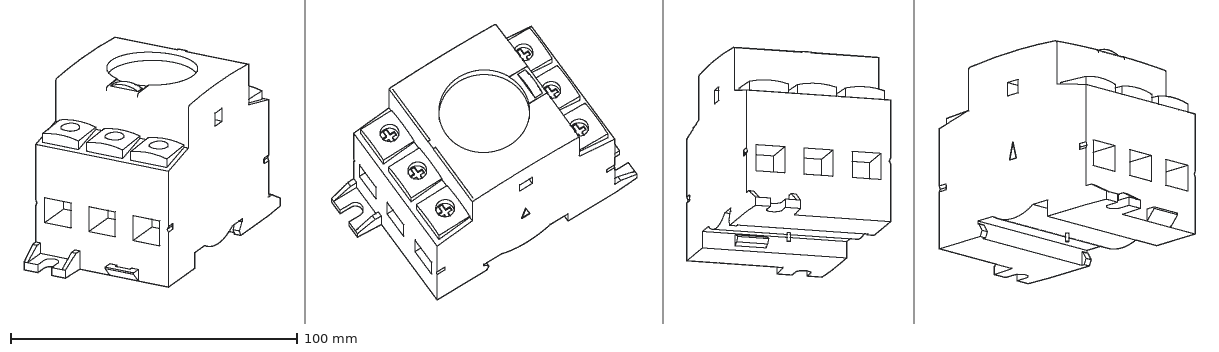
import cadquery as cq

WIDTH = 52.5
LENGTH = 94.0
HEIGHT = 65.3
OVERLAP = 0.9
HALF_WIDTH = WIDTH / 2
HALF_BODY = 37.3
SHOULDER_LOW = 43.8
SHOULDER_HIGH = 47.2

HALF_BLOCK = 45.0 / 2
ROOF_BACK = 62.9
ROOF_BACK_SIDE = 62.8
ROOF_MID_Y = 0.0
ROOF_MID_CROWN = 64.3
ROOF_MID_SIDE = 63.9
ROOF_FRONT_CROWN = 64.0
ROOF_FRONT_SIDE = 63.1
FRONT_ROUND = 1.1
REAR_BEVEL_LENGTH = 0.9
REAR_BEVEL_DROP = 0.4
REAR_STOP_WIDTH = 3.4

CHANNEL_HALF = 17.7
CHANNEL_TOP = 5.9
BELLY_HALF = 10.2
BELLY_BOTTOM = 3.0
HOOK_WIDTH = 2.5
HOOK_TIP = (15.5, 2.1)
HOOK_FOOT_Y = 16.45
HOOK_TOP = (17.2, 4.9)
PIN_DIAMETER = 1.1

POLE_PITCH = 17.5
POLES = [-POLE_PITCH, 0.0, POLE_PITCH]
PAD_WIDTH = 14.3
PAD_END = 35.4
PAD_CROWN = 0.9
PAD_OUTER_SIDE = 47.5
PAD_INNER_SIDE = 48.0
SCREW_Y = 28.1
SCREW_DIAMETER = 6.6
SCREW_TOP = 45.6
CROSS_WIDTH = 1.5
CROSS_LONG = 6.3
CROSS_SHORT = 5.0
CROSS_DEPTH = 0.9
WIRE_WIDTH = 10.4
WIRE_BOTTOM = 14.9
WIRE_TOP = 24.3
WIRE_DEPTH = 14.1

DIAL_RADIUS = 15.9
DIAL_FLOOR = 60.5
TAB_WIDTH = 12.4
TAB_TOP = 63.9
TAB_ROUND = 1.2
BUMP_HALF = 5.45
BUMP_REAR = -17.7
BUMP_FRONT = -20.9

WINDOW_WIDTH = 5.3
WINDOW_BOTTOM = 48.2
WINDOW_TOP = 53.1
ARROW_HALF = 1.7
ARROW_BOTTOM = 24.7
ARROW_TIP = 30.8
ARROW_DEPTH = 0.3
GROOVE_LENGTH = 3.4
GROOVE_BOTTOM = 20.8
GROOVE_MIDDLE = 21.8
GROOVE_TOP = 22.9
GROOVE_DEPTH = 0.5

FOOT_WIDTH = POLE_PITCH
FOOT_CENTRE = -HALF_WIDTH + FOOT_WIDTH / 2
FOOT_PLATE = 3.0
FOOT_RIB = 7.0
FOOT_RIB_END = 39.9
FOOT_TAPER = 0.6
RIB_GAP = 13.6
SLOT_WIDTH = 5.45
SLOT_END = 39.7

LATCH_CENTRE = 8.7
LATCH_WIDTH = 11.3
LATCH_TIP = -40.9
LATCH_TOP = 4.4
LATCH_EDGE = 3.9
LATCH_POCKET_WIDTH = 5.8
LATCH_POCKET_END = -38.4
LATCH_POCKET_FLOOR = 2.8
LATCH_HOOK = [
    (-CHANNEL_HALF, 5.5),
    (-15.1, 4.7),
    (-14.3, 4.1),
    (-15.7, 2.5),
    (-16.3, 2.35),
    (-CHANNEL_HALF, 1.6),
]


def box(x_range, y_range, z_range):
    """Block between the low and high limit on each axis."""
    sizes = [high - low for low, high in (x_range, y_range, z_range)]
    corner = (x_range[0], y_range[0], z_range[0])
    return cq.Workplane("XY").box(*sizes, centered=False).translate(corner)


def across(centre, width, profile):
    """Extrude a closed YZ sketch along X, centred at the given X."""
    return profile.extrude(width).translate((centre - width / 2, 0, 0))


def on_both_ends(feature):
    """The feature together with its mirror image at the other Y end."""
    return feature.union(feature.mirror("XZ"))


def base_housing():
    """Lower housing with sloping shoulders and the rail channel."""
    profile = (
        cq.Workplane("YZ")
        .moveTo(-HALF_BODY, 0)
        .lineTo(-HALF_BODY, SHOULDER_LOW)
        .lineTo(-HALF_BLOCK, SHOULDER_HIGH)
        .lineTo(HALF_BLOCK, SHOULDER_HIGH)
        .lineTo(HALF_BODY, SHOULDER_LOW)
        .lineTo(HALF_BODY, 0)
        .lineTo(CHANNEL_HALF, 0)
        .lineTo(CHANNEL_HALF, CHANNEL_TOP)
        .lineTo(BELLY_HALF, CHANNEL_TOP)
        .threePointArc((0, BELLY_BOTTOM), (-BELLY_HALF, CHANNEL_TOP))
        .lineTo(-CHANNEL_HALF, CHANNEL_TOP)
        .lineTo(-CHANNEL_HALF, 0)
        .close()
    )
    return across(0, WIDTH, profile)


def roof_section(y, side, crown):
    """Closed wire across the block at the given Y, arched on top."""
    return (
        cq.Workplane("XZ", origin=(0, y, 0))
        .moveTo(HALF_WIDTH, SHOULDER_HIGH)
        .lineTo(HALF_WIDTH, side)
        .threePointArc((0, crown), (-HALF_WIDTH, side))
        .lineTo(-HALF_WIDTH, SHOULDER_HIGH)
        .close()
        .val()
    )


def centre_block():
    """Raised block whose roof turns from level at the rear to arched at the front."""
    sections = [
        roof_section(HALF_BLOCK, ROOF_BACK_SIDE, ROOF_BACK),
        roof_section(ROOF_MID_Y, ROOF_MID_SIDE, ROOF_MID_CROWN),
        roof_section(-HALF_BLOCK, ROOF_FRONT_SIDE, ROOF_FRONT_CROWN),
    ]
    block = cq.Workplane(cq.Solid.makeLoft(sections))
    front_edge = cq.selectors.NearestToPointSelector((0, -HALF_BLOCK, ROOF_FRONT_CROWN))
    return block.edges(front_edge).fillet(FRONT_ROUND)


def rear_bevel():
    """Wedge removed along the rear roof edge, interrupted in the middle."""
    inner = HALF_BLOCK - REAR_BEVEL_LENGTH
    profile = (
        cq.Workplane("YZ")
        .moveTo(inner, ROOF_BACK)
        .lineTo(HALF_BLOCK, ROOF_BACK - REAR_BEVEL_DROP)
        .lineTo(HALF_BLOCK, HEIGHT)
        .lineTo(inner, HEIGHT)
        .close()
    )
    half_stop = REAR_STOP_WIDTH / 2
    stop = box((-half_stop, half_stop), (inner, HALF_BLOCK), (ROOF_BACK - OVERLAP, HEIGHT))
    return across(0, WIDTH, profile).cut(stop)


def tab_recess():
    """Space above the flat tab between the dial and the rounded front edge."""
    round_start = -HALF_BLOCK + TAB_ROUND
    profile = (
        cq.Workplane("YZ")
        .moveTo(0, TAB_TOP)
        .lineTo(round_start, TAB_TOP)
        .radiusArc((-HALF_BLOCK, TAB_TOP - TAB_ROUND), -TAB_ROUND)
        .lineTo(-HALF_BLOCK, HEIGHT)
        .lineTo(0, HEIGHT)
        .close()
    )
    return across(0, TAB_WIDTH, profile)


def tab_bump():
    """Arched bump on the tab."""
    return (
        cq.Workplane("XZ", origin=(0, BUMP_REAR, 0))
        .moveTo(-BUMP_HALF, TAB_TOP - OVERLAP)
        .lineTo(-BUMP_HALF, TAB_TOP)
        .threePointArc((0, HEIGHT), (BUMP_HALF, TAB_TOP))
        .lineTo(BUMP_HALF, TAB_TOP - OVERLAP)
        .close()
        .extrude(BUMP_REAR - BUMP_FRONT)
    )


def dial_recess():
    return (
        cq.Workplane("XY", origin=(0, 0, DIAL_FLOOR))
        .circle(DIAL_RADIUS)
        .extrude(HEIGHT - DIAL_FLOOR)
    )


def pad_section(y, side):
    return (
        cq.Workplane("XZ", origin=(0, y, 0))
        .moveTo(PAD_WIDTH / 2, SHOULDER_LOW)
        .lineTo(PAD_WIDTH / 2, side)
        .threePointArc((0, side + PAD_CROWN), (-PAD_WIDTH / 2, side))
        .lineTo(-PAD_WIDTH / 2, SHOULDER_LOW)
        .close()
        .val()
    )


def terminal_pad(x):
    """Arched pad over one terminal on the front shoulder."""
    sections = [pad_section(-PAD_END, PAD_OUTER_SIDE), pad_section(-HALF_BLOCK, PAD_INNER_SIDE)]
    return cq.Workplane(cq.Solid.makeLoft(sections, True)).translate((x, 0, 0))


def screw_recess(x):
    """Round hole down to the screw head plus the cross slot in the head."""
    hole = cq.Workplane("XY").circle(SCREW_DIAMETER / 2).extrude(HEIGHT - SCREW_TOP)
    cross = (
        cq.Workplane("XY")
        .rect(CROSS_LONG, CROSS_WIDTH)
        .extrude(-CROSS_DEPTH)
        .union(cq.Workplane("XY").rect(CROSS_WIDTH, CROSS_SHORT).extrude(-CROSS_DEPTH))
    )
    return hole.union(cross).translate((x, -SCREW_Y, SCREW_TOP))


def wire_opening(x):
    return box(
        (x - WIRE_WIDTH / 2, x + WIRE_WIDTH / 2),
        (-HALF_BODY, -HALF_BODY + WIRE_DEPTH),
        (WIRE_BOTTOM, WIRE_TOP),
    )


def side_window():
    half = WINDOW_WIDTH / 2
    return box((-HALF_WIDTH, HALF_WIDTH), (-half, half), (WINDOW_BOTTOM, WINDOW_TOP))


def side_arrow():
    profile = cq.Workplane("YZ").polyline(
        [(-ARROW_HALF, ARROW_BOTTOM), (ARROW_HALF, ARROW_BOTTOM), (0, ARROW_TIP)]
    )
    return across(-HALF_WIDTH + ARROW_DEPTH / 2, ARROW_DEPTH, profile.close())


def side_grooves():
    """Short V grooves at the end of both side walls."""
    groove = (
        cq.Workplane("XZ", origin=(0, -HALF_BODY + GROOVE_LENGTH, 0))
        .moveTo(-HALF_WIDTH, GROOVE_BOTTOM)
        .lineTo(-HALF_WIDTH + GROOVE_DEPTH, GROOVE_MIDDLE)
        .lineTo(-HALF_WIDTH, GROOVE_TOP)
        .close()
        .extrude(GROOVE_LENGTH)
    )
    return groove.union(groove.mirror("YZ"))


def mounting_foot():
    """Slotted foot with two sloping ribs at the front left corner."""
    tip = LENGTH / 2
    profile = (
        cq.Workplane("YZ")
        .moveTo(-HALF_BODY, 0)
        .lineTo(-HALF_BODY, FOOT_RIB)
        .lineTo(-FOOT_RIB_END, FOOT_RIB)
        .lineTo(-tip, FOOT_PLATE)
        .lineTo(-tip, 0)
        .close()
    )
    half = FOOT_WIDTH / 2
    outline = (
        cq.Workplane("XY")
        .moveTo(-half, -HALF_BODY)
        .lineTo(-half + FOOT_TAPER, -tip)
        .lineTo(half - FOOT_TAPER, -tip)
        .lineTo(half, -HALF_BODY)
        .close()
        .extrude(FOOT_RIB)
    )
    gap = box((-RIB_GAP / 2, RIB_GAP / 2), (-tip, -HALF_BODY), (FOOT_PLATE, FOOT_RIB))
    slot_radius = SLOT_WIDTH / 2
    slot_centre = -SLOT_END - slot_radius
    slot = (
        cq.Workplane("XY")
        .moveTo(-slot_radius, -tip)
        .lineTo(-slot_radius, slot_centre)
        .threePointArc((0, -SLOT_END), (slot_radius, slot_centre))
        .lineTo(slot_radius, -tip)
        .close()
        .extrude(FOOT_PLATE)
    )
    foot = across(0, FOOT_WIDTH, profile).intersect(outline).cut(gap).cut(slot)
    return foot.translate((FOOT_CENTRE, 0, 0))


def latch_handle():
    """Wedge with a shallow pocket that sticks out of the front wall."""
    profile = cq.Workplane("YZ").polyline(
        [(-HALF_BODY, 0), (LATCH_TIP, LATCH_EDGE), (LATCH_TIP, LATCH_TOP), (-HALF_BODY, LATCH_TOP)]
    )
    handle = across(LATCH_CENTRE, LATCH_WIDTH, profile.close())
    pocket = box(
        (LATCH_CENTRE - LATCH_POCKET_WIDTH / 2, LATCH_CENTRE + LATCH_POCKET_WIDTH / 2),
        (LATCH_POCKET_END, -HALF_BODY),
        (LATCH_POCKET_FLOOR, LATCH_TOP),
    )
    return handle.cut(pocket)


def latch_hook():
    """Hook of the latch that reaches into the rail channel."""
    profile = cq.Workplane("YZ").polyline(LATCH_HOOK)
    return across(LATCH_CENTRE, LATCH_WIDTH, profile.close())


def rail_hook(x):
    """Fixed hook on the rear wall of the rail channel."""
    profile = cq.Workplane("YZ").polyline(
        [
            (CHANNEL_HALF, 0),
            (HOOK_FOOT_Y, 0),
            HOOK_TIP,
            HOOK_TOP,
            (CHANNEL_HALF, HOOK_TOP[1]),
        ]
    )
    return across(x, HOOK_WIDTH, profile.close())


def channel_pin():
    return cq.Workplane("XY").circle(PIN_DIAMETER / 2).extrude(CHANNEL_TOP)


block = centre_block().cut(rear_bevel())
result = base_housing().union(block)
result = result.cut(tab_recess()).union(tab_bump()).cut(dial_recess())

for pole in POLES:
    result = result.union(on_both_ends(terminal_pad(pole)))
    result = result.cut(on_both_ends(screw_recess(pole)))
    result = result.cut(on_both_ends(wire_opening(pole)))

result = result.cut(side_window()).cut(side_arrow()).cut(on_both_ends(side_grooves()))

foot = mounting_foot()
opposite_foot = foot.rotate((0, 0, 0), (0, 0, 1), 180)
result = result.union(foot).union(opposite_foot)
for side in (-1, 1):
    result = result.union(rail_hook(side * (HALF_WIDTH - HOOK_WIDTH / 2)))
result = result.union(latch_handle()).union(latch_hook()).union(channel_pin())